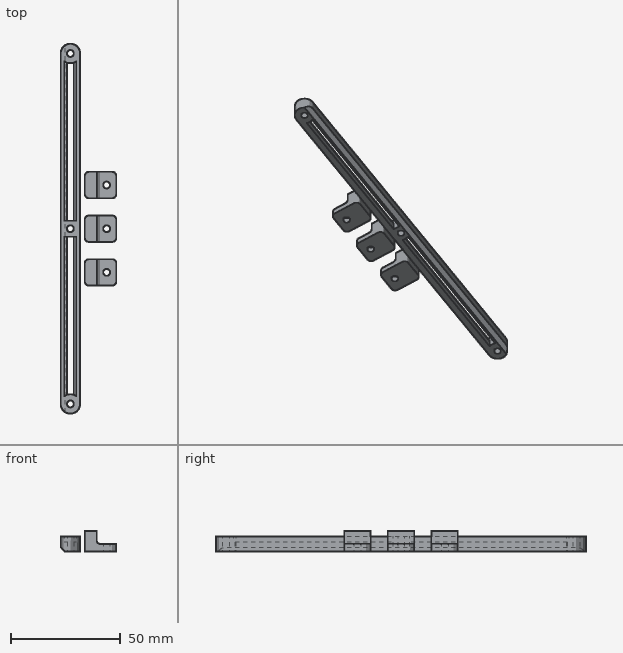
import cadquery as cq

RAIL_LENGTH = 169.0
RAIL_WIDTH = 9.0
RAIL_HEIGHT = 7.0
RAIL_CHAMFER = 2.0
END_RADIUS = RAIL_WIDTH / 2
SCREW_HOLE_DIAMETER = 3.0
END_HOLE_Y = RAIL_LENGTH / 2 - END_RADIUS

CHANNEL_WIDTH = 5.5
CHANNEL_DEPTH = 2.5
SLOT_WIDTH = 3.0
CENTRE_BRIDGE_LENGTH = 7.5

CLIP_COUNT = 3
CLIP_PITCH = 20.0
CLIP_GAP = 2.0
CLIP_WIDTH = 14.5
CLIP_LENGTH = 12.2
CLIP_HEIGHT = 9.5
CLIP_WALL = 5.5
CLIP_FOOT_HEIGHT = 3.5
CLIP_INNER_RADIUS = 1.5
CLIP_CORNER_RADIUS = 2.0
CLIP_LEFT_X = RAIL_WIDTH / 2 + CLIP_GAP
CLIP_HOLE_X = CLIP_LEFT_X + (CLIP_WALL + CLIP_WIDTH) / 2


def make_slot_cut(width, bottom_z):
    """Cutter for both slots, open at the top, leaving the centre bridge and the round end bosses."""
    height = RAIL_HEIGHT - bottom_z
    base = cq.Workplane("XY").workplane(offset=bottom_z)
    strip = base.rect(width, 2 * END_HOLE_Y).extrude(height)
    bridge = base.rect(RAIL_WIDTH, CENTRE_BRIDGE_LENGTH).extrude(height)
    bosses = base.pushPoints([(0, -END_HOLE_Y), (0, END_HOLE_Y)]).circle(END_RADIUS).extrude(height)
    return strip.cut(bridge).cut(bosses)


def make_chamfer_cut():
    """Triangular prism that bevels the lower -X edge along the whole rail."""
    left_x = -RAIL_WIDTH / 2
    return (
        cq.Workplane("XZ")
        .polyline([(left_x, 0), (left_x + RAIL_CHAMFER, 0), (left_x, RAIL_CHAMFER)])
        .close()
        .extrude(RAIL_LENGTH / 2, both=True)
    )


def make_rail():
    body = cq.Workplane("XY").slot2D(RAIL_LENGTH, RAIL_WIDTH, 90).extrude(RAIL_HEIGHT)
    screw_holes = (
        cq.Workplane("XY")
        .pushPoints([(0, -END_HOLE_Y), (0, 0), (0, END_HOLE_Y)])
        .circle(SCREW_HOLE_DIAMETER / 2)
        .extrude(RAIL_HEIGHT)
    )
    channels = make_slot_cut(CHANNEL_WIDTH, RAIL_HEIGHT - CHANNEL_DEPTH)
    through_slots = make_slot_cut(SLOT_WIDTH, 0)
    return body.cut(make_chamfer_cut()).cut(channels).cut(through_slots).cut(screw_holes)


def make_clip(centre_y):
    """L-shaped clip with a filleted inner corner, rounded vertical corners and a hole in its foot."""
    right_x = CLIP_LEFT_X + CLIP_WIDTH
    wall_x = CLIP_LEFT_X + CLIP_WALL
    profile = (
        cq.Workplane("XZ")
        .moveTo(CLIP_LEFT_X, 0)
        .lineTo(right_x, 0)
        .lineTo(right_x, CLIP_FOOT_HEIGHT)
        .lineTo(wall_x + CLIP_INNER_RADIUS, CLIP_FOOT_HEIGHT)
        .radiusArc((wall_x, CLIP_FOOT_HEIGHT + CLIP_INNER_RADIUS), CLIP_INNER_RADIUS)
        .lineTo(wall_x, CLIP_HEIGHT)
        .lineTo(CLIP_LEFT_X, CLIP_HEIGHT)
        .close()
    )
    body = profile.extrude(CLIP_LENGTH / 2, both=True)
    body = body.edges("|Z and (<X or >X)").fillet(CLIP_CORNER_RADIUS)
    hole = (
        cq.Workplane("XY")
        .center(CLIP_HOLE_X, 0)
        .circle(SCREW_HOLE_DIAMETER / 2)
        .extrude(CLIP_HEIGHT)
    )
    return body.cut(hole).translate((0, centre_y, 0))


rail = make_rail()
clips = []
for index in range(CLIP_COUNT):
    clip_y = (index - (CLIP_COUNT - 1) / 2) * CLIP_PITCH
    clips.append(make_clip(clip_y))

result = cq.Compound.makeCompound([rail.val(), *[clip.val() for clip in clips]])